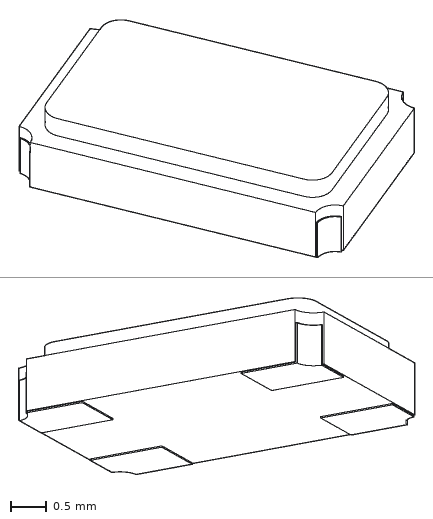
import cadquery as cq

LENGTH = 5.0
WIDTH = 3.2
HEIGHT = 1.1

LID_HEIGHT = 0.3
LID_INSET = 0.3
LID_CORNER_RADIUS = 0.3

NOTCH_RADIUS = 0.3

PLATING = 0.02
PLATING_EDGE_GAP = 0.025
PLATING_TOP = 0.61
PAD_END_X = 1.2
PAD_END_Y = 0.9

BASE_TOP = HEIGHT - LID_HEIGHT
CORNERS = [(sx * LENGTH / 2, sy * WIDTH / 2) for sx in (-1, 1) for sy in (-1, 1)]


def slab(length, width, bottom, top):
    """Rectangular block centred on the Z axis, between two heights."""
    return (
        cq.Workplane("XY")
        .workplane(offset=bottom)
        .rect(length, width)
        .extrude(top - bottom)
    )


def corner_cylinders(radius, bottom, top):
    """Vertical cylinders centred on the four corners of the base."""
    return (
        cq.Workplane("XY")
        .workplane(offset=bottom)
        .pushPoints(CORNERS)
        .circle(radius)
        .extrude(top - bottom)
    )


def make_base():
    """Ceramic base with a quarter-round notch at each corner."""
    block = slab(LENGTH, WIDTH, PLATING, BASE_TOP)
    return block.cut(corner_cylinders(NOTCH_RADIUS, PLATING, BASE_TOP))


def make_lid():
    """Flat lid with rounded corners."""
    lid = slab(LENGTH - 2 * LID_INSET, WIDTH - 2 * LID_INSET, BASE_TOP, HEIGHT)
    return lid.edges("|Z").fillet(LID_CORNER_RADIUS)


def make_plating():
    """Four bottom pads, each joined to a thin lining in its corner notch."""
    pads = (
        cq.Workplane("XY")
        .pushPoints(CORNERS)
        .rect(2 * PAD_END_X, 2 * PAD_END_Y)
        .extrude(PLATING)
    )
    linings = corner_cylinders(NOTCH_RADIUS, 0, PLATING_TOP)
    bounds = slab(
        LENGTH - 2 * PLATING_EDGE_GAP, WIDTH - 2 * PLATING_EDGE_GAP, 0, PLATING_TOP
    )
    bore = corner_cylinders(NOTCH_RADIUS - PLATING, 0, PLATING_TOP)
    return pads.union(linings).intersect(bounds).cut(bore)


result = make_base().union(make_lid()).union(make_plating())